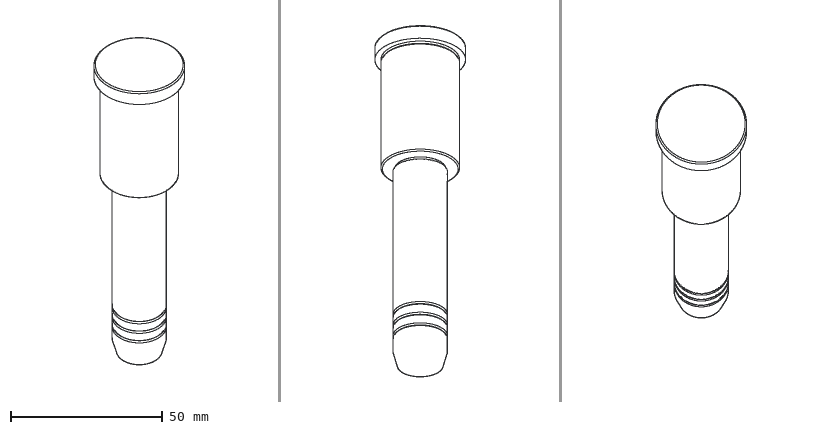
import cadquery as cq
import math

total_length = 120.0
head_radius = 15.0
head_height = 5.0
head_chamfer = 0.5
body_radius = 13.0
body_length = 41.0
body_chamfer = 0.5
shank_radius = 9.0

relief_width = 1.1
relief_depth = 0.5

neck_length = 1.0
neck_depth = 0.5

groove_count = 3
groove_pitch = 4.0
groove_width = 1.0
groove_depth = 0.5
lowest_groove_height = 11.0

tip_length = 5.5
tip_angle = 15.0
tip_rounding = 0.5

head_base = total_length - head_height
body_base = head_base - body_length
neck_base = body_base - neck_length
neck_radius = shank_radius - neck_depth
tip_radius = shank_radius - tip_length * math.tan(math.radians(tip_angle))


def v_groove(surface_radius, height, width, depth):
    """Profile points, from bottom to top, of a V centred at the given height."""
    half_width = width / 2
    return [
        (surface_radius, height - half_width),
        (surface_radius - depth, height),
        (surface_radius, height + half_width),
    ]


def tip_points():
    return [
        (0, 0),
        (tip_radius, 0),
        (shank_radius, tip_length),
    ]


def shank_points():
    points = []
    for index in range(groove_count):
        height = lowest_groove_height + index * groove_pitch
        points += v_groove(shank_radius, height, groove_width, groove_depth)
    return points + [(shank_radius, neck_base), (neck_radius, neck_base), (neck_radius, body_base)]


def body_points():
    chamfer = [
        (body_radius - body_chamfer, body_base),
        (body_radius, body_base + body_chamfer),
    ]
    return chamfer + v_groove(body_radius, head_base - relief_width / 2, relief_width, relief_depth)


def head_points():
    return [
        (head_radius, head_base),
        (head_radius, total_length - head_chamfer),
        (head_radius - head_chamfer, total_length),
        (0, total_length),
    ]


profile_plane = cq.Plane(origin=(0, 0, 0), xDir=(-1, 0, 0), normal=(0, 1, 0))
profile = tip_points() + shank_points() + body_points() + head_points()
pin = cq.Workplane(profile_plane).polyline(profile).close().revolve(360, (0, 0), (0, 1))


result = pin.faces("<Z").edges().fillet(tip_rounding)